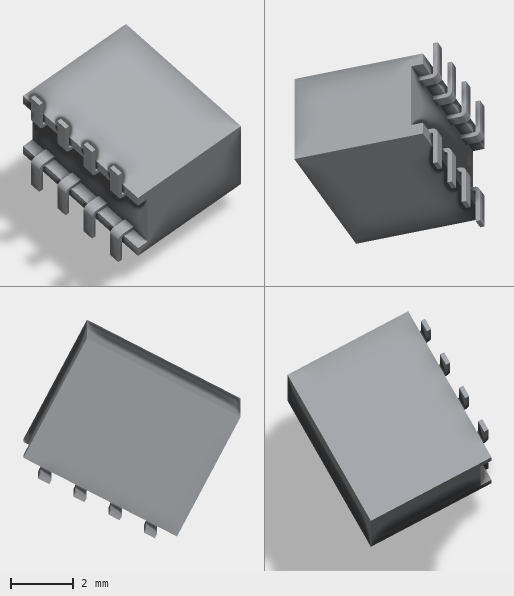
import cadquery as cq

housing_length = 5.54
housing_depth = 4.4
housing_height = 3.0
channel_height = 2.2
channel_depth = 0.4

leads_per_row = 4
lead_pitch = 1.27
lead_width = 0.4
lead_thickness = 0.15
inner_bend_radius = 0.05
overall_depth = 4.65
overall_height = 4.5

housing_front = -housing_depth
channel_floor = housing_front + channel_depth
lead_front = -overall_depth
lead_back = lead_front + lead_thickness
outer_bend_radius = inner_bend_radius + lead_thickness
foot_outer_z = channel_height / 2
foot_inner_z = foot_outer_z - lead_thickness
lead_tip_z = overall_height / 2


def make_housing():
    block = cq.Workplane("XY").box(
        housing_length, housing_depth, housing_height, centered=(True, False, True)
    ).translate((0, housing_front, 0))
    channel = cq.Workplane("XY").box(
        housing_length, channel_depth, channel_height, centered=(True, False, True)
    ).translate((0, housing_front, 0))
    return block.cut(channel)


def make_upper_lead(center_x):
    """Foot from the channel floor along the upper flange, bent upward in front of it."""
    outline = (
        cq.Workplane("YZ", origin=(center_x, 0, 0))
        .moveTo(channel_floor, foot_outer_z)
        .lineTo(lead_back + inner_bend_radius, foot_outer_z)
        .radiusArc((lead_back, foot_outer_z + inner_bend_radius), inner_bend_radius)
        .lineTo(lead_back, lead_tip_z)
        .lineTo(lead_front, lead_tip_z)
        .lineTo(lead_front, foot_inner_z + outer_bend_radius)
        .radiusArc((lead_front + outer_bend_radius, foot_inner_z), -outer_bend_radius)
        .lineTo(channel_floor, foot_inner_z)
        .close()
    )
    return outline.extrude(lead_width / 2, both=True)


def make_leads():
    leads = []
    for index in range(leads_per_row):
        center_x = (index - (leads_per_row - 1) / 2) * lead_pitch
        upper_lead = make_upper_lead(center_x)
        lower_lead = upper_lead.mirror("XY")
        leads.append(upper_lead.val())
        leads.append(lower_lead.val())
    return leads


housing = make_housing()
leads = make_leads()

result = cq.Compound.makeCompound([housing.val(), *leads])